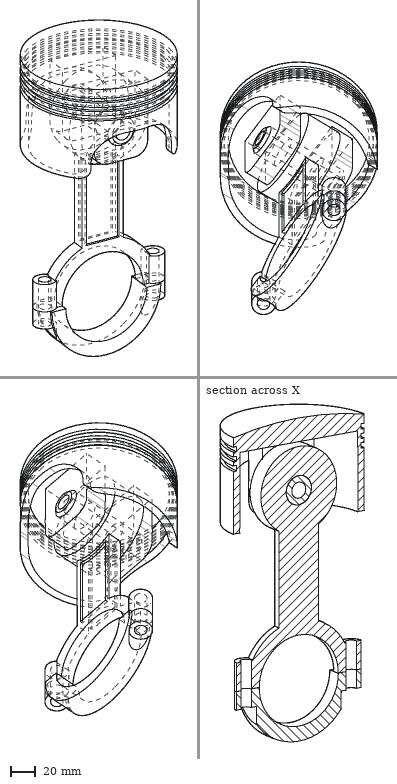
import cadquery as cq

TOTAL_HEIGHT = 272.0
PISTON_DIA = 127.0
PIN_Z = 211.0

CROWN_RISE = 6.8
GROOVE_FLOOR_DIA = 121.0
GROOVE_BANDS = [(253.0, 257.0), (245.0, 249.0), (237.0, 241.3)]

SKIRT_BOTTOM_Z = 184.0
CAVITY_DIA = 114.0
CAVITY_TOP_Z = 251.6
ARCH_HALF_WIDTH = 37.8
ARCH_TOP_Z = 224.5
ARCH_TOP_RADIUS = 27.2
ARCH_FOOT_RADIUS = 9.0

BOSS_WIDTH = 50.0
BOSS_BOTTOM_Z = 184.7
BOSS_CORNER_RADIUS = 12.5
BOSS_ROUND_DIA = 51.0
BOSS_OUTER_X = 35.5

PIN_DIA = 25.0
PIN_BORE_DIA = 13.0
PIN_CHAMFER = 2.7
PIN_LENGTH = 2 * (BOSS_OUTER_X + PIN_CHAMFER)

SMALL_END_RADIUS = 37.0
SMALL_END_THICKNESS = 30.7
ROD_THICKNESS = 12.5
SHANK_WIDTH = 38.5
RECESS_WIDTH = 30.5
RECESS_DEPTH = 2.2
RECESS_TOP_RADIUS = 40.8
RECESS_BOTTOM_Z = 99.8

BIG_END_RADIUS = 51.1
BIG_END_BORE_DIA = 76.2
BIG_END_Z = BIG_END_RADIUS
CAP_THICKNESS = 24.2
LUG_DIA = 19.3
LUG_Y = 51.0
BOLT_DIA = 10.0
ROD_LUG_HEIGHT = 24.5
CAP_LUG_HEIGHT = 15.5


def cylinder_along_x(diameter, length, z):
    """Cylinder along X, centred on x = 0, with its axis at y = 0 and the given height."""
    return cq.Workplane("YZ", origin=(-length / 2, 0, z)).circle(diameter / 2).extrude(length)


def cylinders_at_lugs(diameter, bottom_z, top_z):
    """Pair of upright cylinders on the two bolt axes."""
    return (
        cq.Workplane("XY", origin=(0, 0, bottom_z))
        .pushPoints([(0, -LUG_Y), (0, LUG_Y)])
        .circle(diameter / 2)
        .extrude(top_z - bottom_z)
    )


def block(size_x, size_y, bottom_z, top_z):
    """Box centred on the Z axis between two heights."""
    return cq.Workplane("XY", origin=(0, 0, bottom_z)).rect(size_x, size_y).extrude(top_z - bottom_z)


def make_piston_shell():
    """Cup open at the bottom, with a spherical dome on its crown."""
    radius = PISTON_DIA / 2
    dome_radius = (radius**2 + CROWN_RISE**2) / (2 * CROWN_RISE)
    dome_ball = cq.Workplane("XY", origin=(0, 0, TOTAL_HEIGHT - dome_radius)).sphere(dome_radius)
    body = cq.Workplane("XY", origin=(0, 0, SKIRT_BOTTOM_Z)).circle(radius)
    body = body.extrude(TOTAL_HEIGHT - SKIRT_BOTTOM_Z).intersect(dome_ball)
    cavity = cq.Workplane("XY", origin=(0, 0, SKIRT_BOTTOM_Z)).circle(CAVITY_DIA / 2)
    return body.cut(cavity.extrude(CAVITY_TOP_Z - SKIRT_BOTTOM_Z))


def make_ring_groove(bottom_z, top_z):
    """Ring to cut away for one piston-ring groove."""
    return (
        cq.Workplane("XY", origin=(0, 0, bottom_z))
        .circle(PISTON_DIA)
        .circle(GROOVE_FLOOR_DIA / 2)
        .extrude(top_z - bottom_z)
    )


def make_skirt_arch():
    """Arched opening through both sides of the skirt, flared at its feet."""
    opening = block(PISTON_DIA, 2 * ARCH_HALF_WIDTH, SKIRT_BOTTOM_Z, ARCH_TOP_Z)
    opening = opening.edges("|X and >Z").fillet(ARCH_TOP_RADIUS)
    foot_width = 2 * (ARCH_HALF_WIDTH + ARCH_FOOT_RADIUS)
    feet = block(PISTON_DIA, foot_width, SKIRT_BOTTOM_Z, SKIRT_BOTTOM_Z + ARCH_FOOT_RADIUS)
    foot_rounds = (
        cq.Workplane("YZ", origin=(0, 0, SKIRT_BOTTOM_Z + ARCH_FOOT_RADIUS))
        .pushPoints([(-foot_width / 2, 0), (foot_width / 2, 0)])
        .circle(ARCH_FOOT_RADIUS)
        .extrude(PISTON_DIA / 2, both=True)
    )
    return opening.union(feet.cut(foot_rounds))


def make_pin_bosses():
    """Two bosses hanging from the crown, one on each side of the rod."""
    bosses = block(2 * BOSS_OUTER_X, BOSS_WIDTH, BOSS_BOTTOM_Z, CAVITY_TOP_Z)
    bosses = bosses.edges("|X and <Z").fillet(BOSS_CORNER_RADIUS)
    bosses = bosses.union(cylinder_along_x(BOSS_ROUND_DIA, 2 * BOSS_OUTER_X, PIN_Z))
    rod_gap = block(SMALL_END_THICKNESS, PISTON_DIA, SKIRT_BOTTOM_Z, CAVITY_TOP_Z)
    return bosses.cut(rod_gap)


def make_piston():
    piston = make_piston_shell()
    for bottom_z, top_z in GROOVE_BANDS:
        piston = piston.cut(make_ring_groove(bottom_z, top_z))
    piston = piston.cut(make_skirt_arch())
    piston = piston.union(make_pin_bosses())
    return piston.cut(cylinder_along_x(PIN_DIA, PIN_LENGTH, PIN_Z))


def make_piston_pin():
    pin = cylinder_along_x(PIN_DIA, PIN_LENGTH, PIN_Z).faces("<X or >X").chamfer(PIN_CHAMFER)
    return pin.cut(cylinder_along_x(PIN_BORE_DIA, PIN_LENGTH, PIN_Z))


def make_shank_recesses():
    """Shallow pockets in both faces of the shank, rounded at the top about the pin axis."""
    pockets = block(ROD_THICKNESS, RECESS_WIDTH, RECESS_BOTTOM_Z, PIN_Z)
    web = block(ROD_THICKNESS - 2 * RECESS_DEPTH, RECESS_WIDTH, RECESS_BOTTOM_Z, PIN_Z)
    return pockets.cut(web).cut(cylinder_along_x(2 * RECESS_TOP_RADIUS, ROD_THICKNESS, PIN_Z))


def make_rod():
    """Connecting rod with its small end, recessed shank and upper half of the big end."""
    shank = block(ROD_THICKNESS, SHANK_WIDTH, BIG_END_Z, PIN_Z)
    upper_half = block(PISTON_DIA, PISTON_DIA, BIG_END_Z, TOTAL_HEIGHT)
    big_end = cylinder_along_x(2 * BIG_END_RADIUS, ROD_THICKNESS, BIG_END_Z).intersect(upper_half)
    lug_top_z = BIG_END_Z + ROD_LUG_HEIGHT
    rod = shank.union(big_end).cut(make_shank_recesses())
    rod = rod.union(cylinder_along_x(2 * SMALL_END_RADIUS, SMALL_END_THICKNESS, PIN_Z))
    rod = rod.union(cylinders_at_lugs(LUG_DIA, BIG_END_Z, lug_top_z))
    rod = rod.cut(cylinders_at_lugs(BOLT_DIA, BIG_END_Z, lug_top_z))
    rod = rod.cut(cylinder_along_x(PIN_DIA, SMALL_END_THICKNESS, PIN_Z))
    return rod.cut(cylinder_along_x(BIG_END_BORE_DIA, LUG_DIA, BIG_END_Z))


def make_cap():
    """Lower half of the big end, with bolt lugs and clearance below them."""
    lower_half = block(PISTON_DIA, PISTON_DIA, 0, BIG_END_Z)
    cap = cylinder_along_x(2 * BIG_END_RADIUS, CAP_THICKNESS, BIG_END_Z).intersect(lower_half)
    lug_bottom_z = BIG_END_Z - CAP_LUG_HEIGHT
    cap = cap.cut(cylinders_at_lugs(LUG_DIA, 0, lug_bottom_z))
    cap = cap.union(cylinders_at_lugs(LUG_DIA, lug_bottom_z, BIG_END_Z))
    cap = cap.cut(cylinders_at_lugs(BOLT_DIA, lug_bottom_z, BIG_END_Z))
    return cap.cut(cylinder_along_x(BIG_END_BORE_DIA, CAP_THICKNESS, BIG_END_Z))


piston = make_piston()
piston_pin = make_piston_pin()
rod = make_rod()
cap = make_cap()

result = cq.Compound.makeCompound([piston.val(), piston_pin.val(), rod.val(), cap.val()])